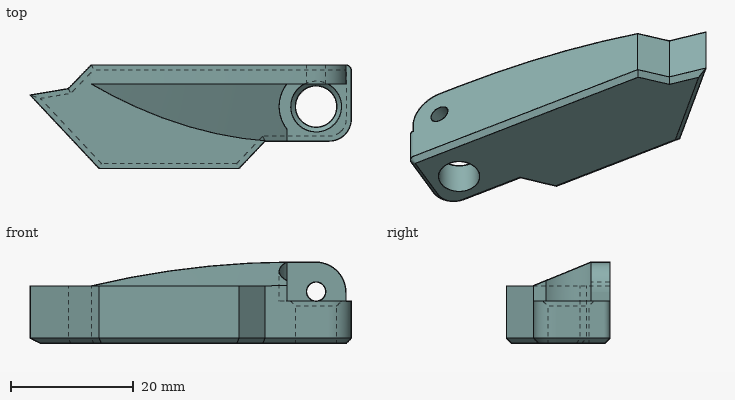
import cadquery as cq

length = 52.35
width = 16.9
base_height = 9.35
total_height = 13.25
tip_y = 12.0
notch_x = 6.25
notch_y = 13.05
back_start_x = 10.0
front_start_x = 11.25
front_end_x = 34.05
neck_start_x = 38.25
neck_y = 4.45
neck_corner_radius = 3.65
back_corner_radius = 1.0
bottom_chamfer = 0.85

hole_x = 46.6
hole_y = 10.1
hole_diameter = 6.7
countersink_diameter = 8.25
countersink_depth = (countersink_diameter - hole_diameter) / 2
recess_x = 41.85
recess_floor = 6.85
recess_diameter = 12.05

lug_thickness = 3.15
lug_face_y = width - lug_thickness
lug_diameter = 9.9
lug_radius = lug_diameter / 2
lug_hole_diameter = 3.1
lug_hole_z = 8.45
lug_arc_z = total_height - lug_radius
lug_end_x = 51.45
lug_arc_x = lug_end_x - lug_radius

crest_end_x = 42.95
crest_rise = total_height - base_height
crest_run = crest_end_x - back_start_x
crest_radius = (crest_run**2 + crest_rise**2) / (2 * crest_rise)
flank_slope = 0.41


def make_base():
    outline = [
        (0, tip_y),
        (front_start_x, 0),
        (front_end_x, 0),
        (neck_start_x, neck_y),
        (length, neck_y),
        (length, width),
        (back_start_x, width),
        (notch_x, notch_y),
    ]
    base = cq.Workplane("XY").polyline(outline).close().extrude(base_height)
    base = base.faces(">X").edges("<Y").fillet(neck_corner_radius)
    base = base.faces(">X").edges(">Y").fillet(back_corner_radius)
    return base.faces("<Z").chamfer(bottom_chamfer)


def crest_profile(start_y):
    """Area below the crest line, in the XZ plane at start_y."""
    mid_x = (back_start_x + crest_end_x) / 2
    arc_center_z = total_height - crest_radius
    mid_z = arc_center_z + (crest_radius**2 - (crest_end_x - mid_x) ** 2) ** 0.5
    return (
        cq.Workplane("XZ", origin=(0, start_y, 0))
        .moveTo(back_start_x, recess_floor)
        .lineTo(back_start_x, base_height)
        .threePointArc((mid_x, mid_z), (crest_end_x, total_height))
        .lineTo(lug_arc_x, total_height)
        .lineTo(lug_arc_x, recess_floor)
        .close()
    )


def make_ridge():
    return crest_profile(width).extrude(lug_thickness)


def make_flank():
    travel = lug_face_y - neck_y
    drop = travel * flank_slope
    profile_wire = crest_profile(lug_face_y).wire().val()
    sheared = cq.Solid.extrudeLinear(profile_wire, [], cq.Vector(0, -travel, -drop))
    above_base = cq.Workplane("XY").box(length, width, crest_rise, centered=False)
    return cq.Workplane(sheared).intersect(above_base.translate((0, 0, base_height)))


def make_lug():
    """Rounded end of the lug, continuing the ridge from above the hole."""
    return (
        cq.Workplane("XZ", origin=(0, width, 0))
        .moveTo(lug_arc_x, recess_floor)
        .lineTo(lug_arc_x, total_height)
        .radiusArc((lug_end_x, lug_arc_z), lug_radius)
        .lineTo(lug_end_x, recess_floor)
        .close()
        .extrude(lug_thickness)
    )


def make_recess():
    """Space over the hole: an open box, rounded behind, and the span the lug end then fills."""
    height = total_height - recess_floor
    floor = cq.Workplane("XY", origin=(0, 0, recess_floor))
    box = floor.box(length - recess_x, lug_face_y, height, centered=False).translate((recess_x, 0, 0))
    round_back = floor.center(hole_x, hole_y).circle(recess_diameter / 2).extrude(height)
    in_front_of_lug = floor.box(length, lug_face_y, height, centered=False)
    past_lug = floor.box(length - lug_arc_x, width, height, centered=False).translate((lug_arc_x, 0, 0))
    return box.union(round_back.intersect(in_front_of_lug)).union(past_lug)


def make_vertical_hole():
    hole_radius = hole_diameter / 2
    half_section = [
        (0, 0),
        (hole_radius, 0),
        (hole_radius, recess_floor - countersink_depth),
        (countersink_diameter / 2, recess_floor),
        (0, recess_floor),
    ]
    hole = cq.Workplane("XZ").polyline(half_section).close().revolve(360, (0, 0, 0), (0, 1, 0))
    return hole.translate((hole_x, hole_y, 0))


def make_lug_hole():
    return (
        cq.Workplane("XZ", origin=(0, width, 0))
        .center(hole_x, lug_hole_z)
        .circle(lug_hole_diameter / 2)
        .extrude(lug_thickness)
    )


body = make_base().union(make_ridge()).union(make_flank())
body = body.cut(make_recess()).union(make_lug())
result = body.cut(make_vertical_hole()).cut(make_lug_hole())